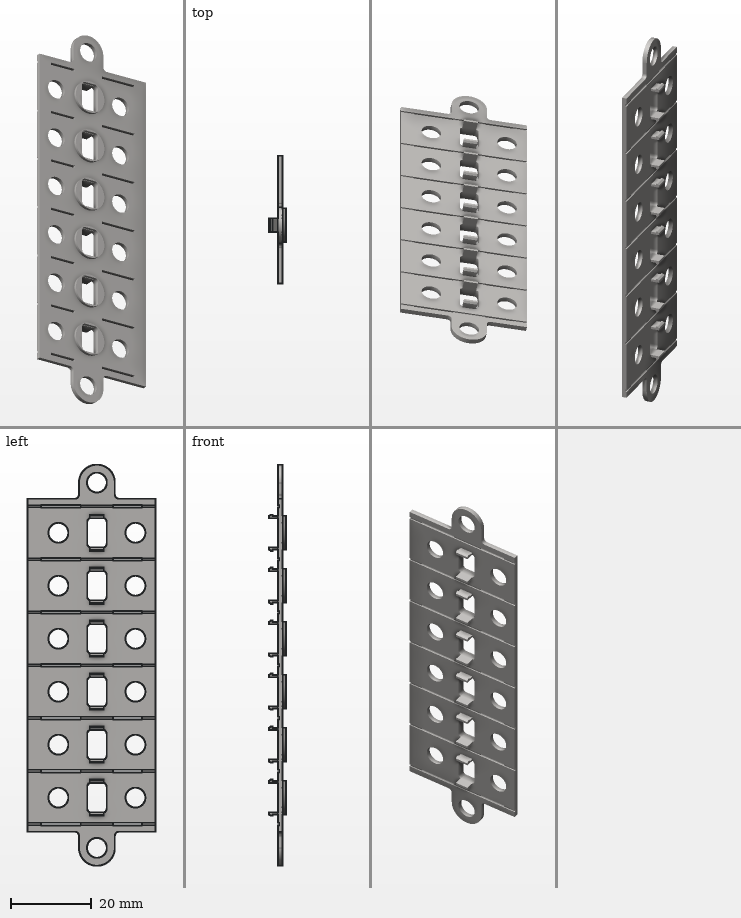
import cadquery as cq

plate_thickness = 1.2
plate_width = 31.6
plate_left = 17.2
plate_right = plate_width - plate_left
overall_height = 99.2

module_count = 6
module_pitch = 13.1
end_strip = 1.9
plate_height = module_count * module_pitch + 2 * end_strip
groove_width = 0.6
groove_depth = 0.3
center_web = 8.0
edge_web = 3.4

lug_width = 8.9
lug_radius = lug_width / 2
lug_center_z = overall_height / 2 - lug_radius
lug_root_radius = 1.0
hole_diameter = 4.9

side_hole_offset = 9.5
disc_diameter = 8.4
disc_height = 0.83
socket_width = 4.8
socket_height = 7.3
socket_corner_radius = 1.0

clip_gap = 7.1
clip_width = 3.5
clip_thickness = 0.6
clip_length = 2.2
barb_height = 0.35
barb_length = 0.9
barb_flat = 0.4

module_centers = [(i - (module_count - 1) / 2) * module_pitch for i in range(module_count)]
groove_centers = [(i - module_count / 2) * module_pitch for i in range(module_count + 1)]


def block(x_min, x_max, y_min, y_max, z_min, z_max):
    """Axis-aligned box between the given limits."""
    size = (x_max - x_min, y_max - y_min, z_max - z_min)
    return cq.Workplane("XY").box(*size, centered=False).translate((x_min, y_min, z_min))


def cylinder(diameter, x_min, length, y, z):
    """Round bar along +X centred at (y, z)."""
    return cq.Workplane("YZ", origin=(x_min, 0, 0)).center(y, z).circle(diameter / 2).extrude(length)


def make_plate():
    """Flat strip with a rounded, drilled lug at each end."""
    half_height = plate_height / 2
    plate = block(0, plate_thickness, -plate_right, plate_left, -half_height, half_height)
    lug_bar = block(0, plate_thickness, -lug_radius, lug_radius, -lug_center_z, lug_center_z)
    plate = plate.union(lug_bar)

    corner_box = cq.selectors.BoxSelector(
        (-plate_thickness, -lug_width, -half_height - lug_root_radius),
        (2 * plate_thickness, lug_width, half_height + lug_root_radius),
    )
    plate = plate.edges("|X").edges(corner_box).fillet(lug_root_radius)

    for z in (-lug_center_z, lug_center_z):
        plate = plate.union(cylinder(lug_width, 0, plate_thickness, 0, z))
        plate = plate.cut(cylinder(hole_diameter, 0, plate_thickness, 0, z))
    return plate


def make_groove(z):
    """Shallow groove across the front, cut right through between the three webs."""
    low = z - groove_width / 2
    high = z + groove_width / 2
    groove = block(0, groove_depth, -plate_right, plate_left, low, high)
    left_slit = block(0, plate_thickness, center_web / 2, plate_left - edge_web, low, high)
    right_slit = block(0, plate_thickness, edge_web - plate_right, -center_web / 2, low, high)
    return groove.union(left_slit).union(right_slit)


def make_socket(z):
    """Rounded rectangular opening through the plate and disc."""
    depth = plate_thickness + disc_height
    opening = cq.Workplane("YZ").center(0, z).rect(socket_width, socket_height).extrude(depth)
    return opening.edges("|X").fillet(socket_corner_radius)


def make_clip(z, side):
    """Clip rooted in the plate at a socket end; side is +1 above the socket and -1 below it."""
    inner = clip_gap / 2
    outer = inner + clip_thickness
    barb_back = barb_length - clip_length
    profile = [
        (plate_thickness, inner),
        (-clip_length, inner),
        (-clip_length, outer),
        (barb_back - barb_flat, outer + barb_height),
        (barb_back, outer + barb_height),
        (barb_back, outer),
        (plate_thickness, outer),
    ]
    points = [(x, z + side * offset) for x, offset in profile]
    return cq.Workplane("XZ").polyline(points).close().extrude(clip_width / 2, both=True)


result = make_plate()

for groove_z in groove_centers:
    result = result.cut(make_groove(groove_z))

for module_z in module_centers:
    result = result.union(cylinder(disc_diameter, plate_thickness, disc_height, 0, module_z))
    result = result.cut(make_socket(module_z))
    for hole_y in (-side_hole_offset, side_hole_offset):
        result = result.cut(cylinder(hole_diameter, 0, plate_thickness, hole_y, module_z))
    for clip_side in (-1, 1):
        result = result.union(make_clip(module_z, clip_side))